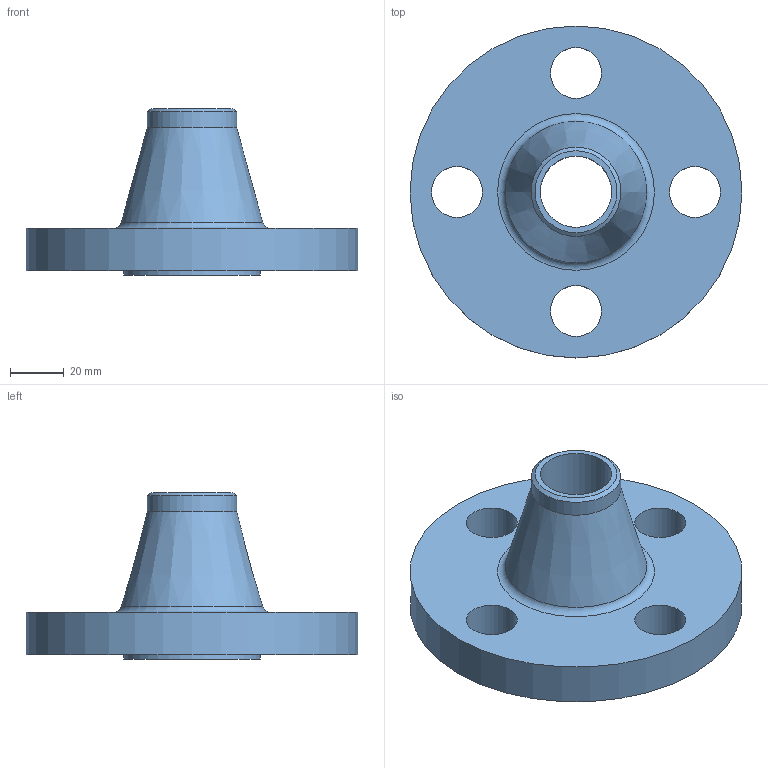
import cadquery as cq
import math


flange_diameter = 124.0
flange_thickness = 15.9
raised_face_diameter = 51.0
raised_face_height = 1.6

total_height = 62.04
neck_diameter = 33.4
neck_length = 7.0
hub_base_diameter = 54.0
hub_fillet_radius = 3.0
bore_diameter = 26.6

bevel_width = 1.4
bevel_height = 1.1

bolt_count = 4
bolt_circle_diameter = 88.9
bolt_hole_diameter = 19.05

flange_top = raised_face_height + flange_thickness
cone_top = total_height - neck_length


def turned_body():
    """Flange, raised face and hub revolved as one profile, with the bore left open."""
    bore_radius = bore_diameter / 2
    face_radius = raised_face_diameter / 2
    flange_radius = flange_diameter / 2
    hub_radius = hub_base_diameter / 2
    neck_radius = neck_diameter / 2

    slope = math.atan2(hub_radius - neck_radius, cone_top - flange_top)
    turn = math.pi / 2 - slope
    tangent_length = hub_fillet_radius * math.tan(turn / 2)
    arc_center_r = hub_radius + tangent_length
    arc_center_z = flange_top + hub_fillet_radius

    def fillet_point(angle):
        """Point on the fillet, at an angle swept from its lowest point toward the hub."""
        r = arc_center_r - hub_fillet_radius * math.sin(angle)
        z = arc_center_z - hub_fillet_radius * math.cos(angle)
        return (r, z)

    profile = (
        cq.Workplane("XZ")
        .moveTo(bore_radius, 0)
        .lineTo(face_radius, 0)
        .lineTo(face_radius, raised_face_height)
        .lineTo(flange_radius, raised_face_height)
        .lineTo(flange_radius, flange_top)
        .lineTo(*fillet_point(0))
        .threePointArc(fillet_point(turn / 2), fillet_point(turn))
        .lineTo(neck_radius, cone_top)
        .lineTo(neck_radius, total_height - bevel_height)
        .lineTo(neck_radius - bevel_width, total_height)
        .lineTo(bore_radius, total_height)
        .close()
    )
    return profile.revolve(360, (0, 0, 0), (0, 1, 0))


def bolt_holes():
    """Cylinders through the flange plate, on the X and Y axes."""
    return (
        cq.Workplane("XY")
        .polarArray(bolt_circle_diameter / 2, 0, 360, bolt_count)
        .circle(bolt_hole_diameter / 2)
        .extrude(flange_top)
    )


result = turned_body().cut(bolt_holes())